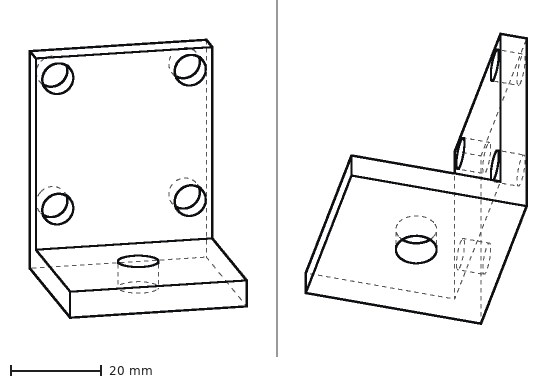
import cadquery as cq

height = 50.0
side = 40.0
thickness = 6.0
turn_angle = -10.0

wall_hole_diameter = 7.0
wall_hole_edge_distance = 5.0
wall_hole_pitch_y = side - 2 * wall_hole_edge_distance
wall_hole_levels = (15.0, height - wall_hole_edge_distance)
base_hole_diameter = 9.0


def make_angle():
    """L-shaped body: square base centred on Z, upright wall on its -X edge."""
    left = -side / 2
    right = side / 2
    profile = [
        (left, 0),
        (right, 0),
        (right, thickness),
        (left + thickness, thickness),
        (left + thickness, height),
        (left, height),
    ]
    return cq.Workplane("XZ").polyline(profile).close().extrude(side / 2, both=True)


def make_wall_holes():
    """Four cylinders along X that pass through the wall."""
    centers = [(y, z) for y in (-wall_hole_pitch_y / 2, wall_hole_pitch_y / 2) for z in wall_hole_levels]
    return (
        cq.Workplane("YZ", origin=(-side / 2, 0, 0))
        .pushPoints(centers)
        .circle(wall_hole_diameter / 2)
        .extrude(thickness)
    )


def make_base_hole():
    """Cylinder through the middle of the base."""
    return cq.Workplane("XY").circle(base_hole_diameter / 2).extrude(thickness)


bracket = make_angle().cut(make_wall_holes()).cut(make_base_hole())
result = bracket.rotate((0, 0, 0), (0, 0, 1), turn_angle)